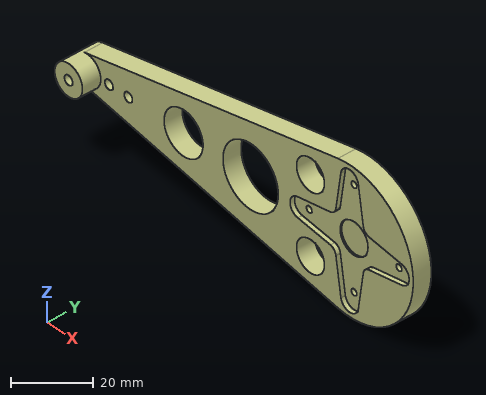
import cadquery as cq
import math

length = 122.9
hub_radius = 23.0
tail_radius = 5.0
plate_thickness = 6.0
boss_height = 6.0
tail_x = hub_radius + tail_radius - length

arm_reach = 21.5
arm_tip_radius = 3.2
arm_root_half_width = 6.0
cross_corner_radius = 2.5
cross_depth = 1.5
arm_count = 4
screw_hole_offset = 16.2
screw_hole_radius = 1.0
center_recess_radius = 5.0
center_recess_depth = 0.5

pin_hole_radius = 1.5
centerline_holes = [
    (0.0, pin_hole_radius),
    (8.0, pin_hole_radius),
    (15.0, pin_hole_radius),
    (34.9, 7.0),
    (59.1, 10.0),
]

side_hole_x = -14.1
side_hole_z = 12.3
side_hole_radius = 5.0


def front_plane(depth=0.0):
    """XZ plane at a depth behind the plate's front face; extrusion runs toward -Y."""
    return cq.Workplane("XZ", origin=(0, depth, 0))


def cylinder(x, z, radius, front_y, back_y):
    """Cylinder along Y between two Y positions."""
    return front_plane(back_y).center(x, z).circle(radius).extrude(back_y - front_y)


def make_plate():
    """Plate up to the chord where its straight sides meet the tail cylinder."""
    slope = (hub_radius - tail_radius) / -tail_x
    rise = math.sqrt(1 - slope**2)
    hub_tangent = (-hub_radius * slope, hub_radius * rise)
    tail_tangent = (tail_x - tail_radius * slope, tail_radius * rise)
    return (
        front_plane(plate_thickness)
        .moveTo(*tail_tangent)
        .lineTo(*hub_tangent)
        .threePointArc((hub_radius, 0), (hub_tangent[0], -hub_tangent[1]))
        .lineTo(tail_tangent[0], -tail_tangent[1])
        .close()
        .extrude(plate_thickness)
    )


def make_arm():
    """One tapered arm along +X, with its sides tangent to the round tip."""
    tip_x = arm_reach - arm_tip_radius
    root_distance = math.hypot(tip_x, arm_root_half_width)
    root_angle = math.atan2(arm_root_half_width, -tip_x)
    contact_angle = root_angle - math.acos(arm_tip_radius / root_distance)
    contact_x = tip_x + arm_tip_radius * math.cos(contact_angle)
    contact_z = arm_tip_radius * math.sin(contact_angle)
    return (
        front_plane(cross_depth)
        .moveTo(0, -arm_root_half_width)
        .lineTo(contact_x, -contact_z)
        .threePointArc((arm_reach, 0), (contact_x, contact_z))
        .lineTo(0, arm_root_half_width)
        .close()
        .extrude(cross_depth)
    )


def make_cross():
    arm = make_arm()
    cross = arm
    for index in range(1, arm_count):
        cross = cross.union(arm.rotate((0, 0, 0), (0, 1, 0), index * 360 / arm_count))
    limit = arm_root_half_width
    inner_corners = cq.selectors.BoxSelector(
        (-limit, -cross_depth, -limit),
        (limit, 2 * cross_depth, limit),
    )
    return cross.edges("|Y").edges(inner_corners).fillet(cross_corner_radius)


result = make_plate().union(cylinder(tail_x, 0, tail_radius, -boss_height, plate_thickness))

result = result.cut(make_cross())
result = result.cut(cylinder(0, 0, center_recess_radius, 0, cross_depth + center_recess_depth))

through_holes = [(tail_x + distance, 0, radius) for distance, radius in centerline_holes]
for side in (-1, 1):
    through_holes.append((side_hole_x, side * side_hole_z, side_hole_radius))
    through_holes.append((side * screw_hole_offset, 0, screw_hole_radius))
    through_holes.append((0, side * screw_hole_offset, screw_hole_radius))
for x, z, radius in through_holes:
    result = result.cut(cylinder(x, z, radius, -boss_height, plate_thickness))